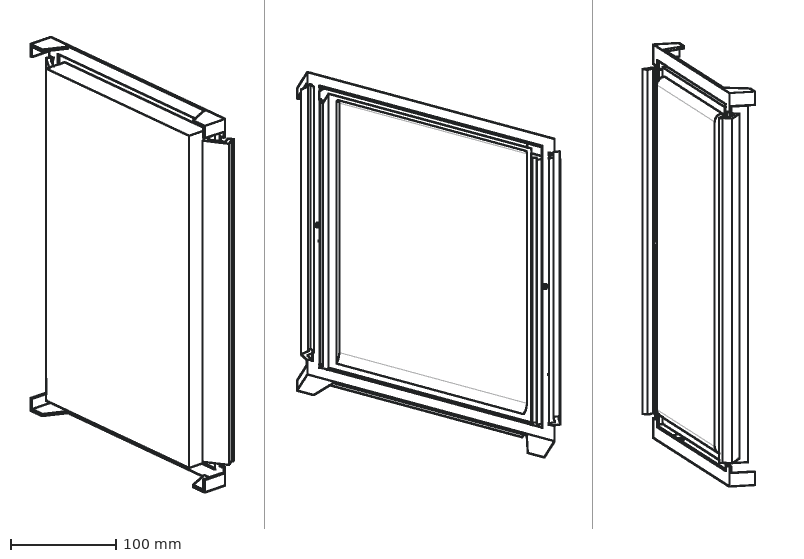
import cadquery as cq


frame_width = 254.0
frame_height = 381.0
frame_depth = 25.5
sheet = 2.3
cross_bar_height = 13.0
window_width = 229.5
stile_width = 6.5
corner_plate_height = 19.0
corner_flap_root = 28.0
corner_flap_tip = 17.0

stud_diameter = 3.7
stud_length = 2.5
stud_spacing = 234.0

panel_width = 208.5
panel_height = 345.0
pad_width = 192.8
pad_height = 329.5
pad_thickness = 7.5

rail_length = 333.8
rail_angle = 33.0
rail_wall_width = 26.0
rail_wall = 4.2
inner_flange_depth = 7.5
outer_flange_depth = 12.2
outer_flange_thickness = 4.5
lip_reach = 1.5
lip_height = 3.0
rail_corner_x = 133.5
rail_corner_y = -0.8

half_width = frame_width / 2
half_height = frame_height / 2
window_height = frame_height - 2 * cross_bar_height
stile_outer_x = window_width / 2 + stile_width
notch_width = half_width - stile_outer_x
notch_height = frame_height - 2 * corner_plate_height
panel_depth = frame_depth - sheet


def plate(width, height, front_y, depth):
    """A block centred on X and Z that runs from front_y toward +Y."""
    return cq.Workplane("XY").box(width, depth, height).translate((0, front_y + depth / 2, 0))


def mirrored(shape, x_side, z_side):
    """A shape from the +X, +Z quarter moved to the quarter given by the two signs."""
    if x_side < 0:
        shape = shape.mirror("YZ")
    if z_side < 0:
        shape = shape.mirror("XY")
    return shape


def make_corner_flaps():
    """The end flap and the side flap of the corner at +X, +Z, bent toward the front."""
    end_flap = (
        cq.Workplane("XY", origin=(0, 0, half_height - sheet))
        .moveTo(half_width, 0)
        .lineTo(half_width, -frame_depth)
        .lineTo(half_width - corner_flap_tip, -frame_depth)
        .lineTo(half_width - corner_flap_root, -sheet)
        .lineTo(half_width - corner_flap_root, 0)
        .close()
        .extrude(sheet)
    )
    side_flap = plate(sheet, cross_bar_height, -frame_depth, frame_depth).translate(
        (half_width - sheet / 2, 0, half_height - cross_bar_height / 2)
    )
    return end_flap.union(side_flap)


def make_frame():
    frame = plate(frame_width, frame_height, -sheet, sheet)
    frame = frame.cut(plate(window_width, window_height, -sheet, sheet))

    notch_x = stile_outer_x + notch_width / 2
    for side in (-1, 1):
        notch = plate(notch_width, notch_height, -sheet, sheet)
        frame = frame.cut(notch.translate((side * notch_x, 0, 0)))

    corner_flaps = make_corner_flaps()
    for x_side in (-1, 1):
        for z_side in (-1, 1):
            frame = frame.union(mirrored(corner_flaps, x_side, z_side))

    for side in (-1, 1):
        stud = (
            cq.Workplane("XZ")
            .center(side * stud_spacing / 2, 0)
            .circle(stud_diameter / 2)
            .extrude(-stud_length)
        )
        frame = frame.union(stud)
    return frame


def make_panel():
    body = plate(panel_width, panel_height, -frame_depth, panel_depth)

    pad_core = plate(pad_width, pad_height, -frame_depth, panel_depth + pad_thickness)
    pad_core = pad_core.edges("|X and >Y").fillet(pad_thickness)
    return body.union(pad_core)


def make_left_rail():
    """Channel section drawn with its outer corner at the origin, then turned and placed."""
    lip_start = outer_flange_depth - lip_height
    section = [
        (0, 0),
        (rail_wall_width, 0),
        (rail_wall_width, inner_flange_depth),
        (rail_wall_width - rail_wall, inner_flange_depth),
        (rail_wall_width - rail_wall, rail_wall),
        (outer_flange_thickness, rail_wall),
        (outer_flange_thickness, outer_flange_depth),
        (-lip_reach, outer_flange_depth),
        (-lip_reach, lip_start),
        (0, lip_start),
    ]
    return (
        cq.Workplane("XY")
        .polyline(section)
        .close()
        .extrude(rail_length)
        .rotate((0, 0, 0), (0, 0, 1), -rail_angle)
        .translate((-rail_corner_x, rail_corner_y, -rail_length / 2))
    )


frame = make_frame()
panel = make_panel()
left_rail = make_left_rail()
rails = [mirrored(left_rail, side, 1) for side in (1, -1)]

result = cq.Compound.makeCompound([frame.val(), panel.val(), *[rail.val() for rail in rails]])